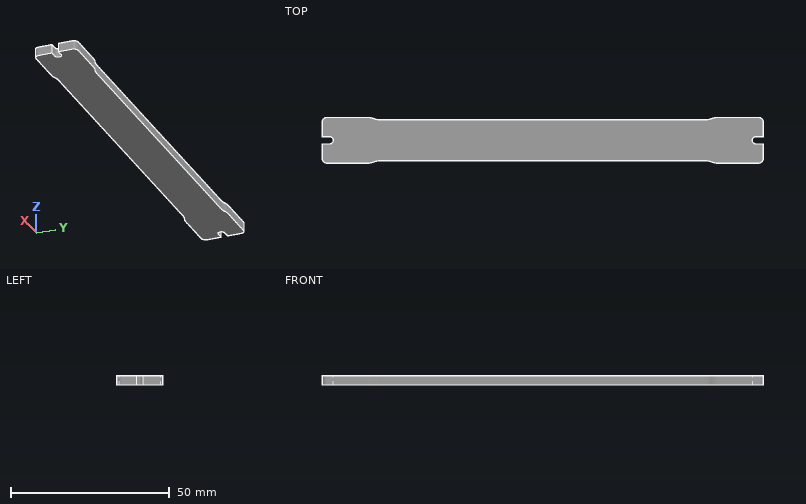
import cadquery as cq
import math

length = 139.0
end_width = 14.5
middle_width = 13.0
thickness = 3.0
corner_radius = 1.6
end_pad_length = 14.35
blend_radius = 5.0
slot_width = 2.2
slot_depth = 3.5

step = (end_width - middle_width) / 2
blend_angle = math.acos(1 - step / (2 * blend_radius))
blend_length = 2 * blend_radius * math.sin(blend_angle)


def make_bar():
    """Flat bar with rounded corners, centred on the origin."""
    return cq.Workplane("XY").box(length, end_width, thickness).edges("|Z").fillet(corner_radius)


def make_edge_relief():
    """Shallow cut along the +Y edge, with an S-shaped run-out at each end."""
    top_y = end_width / 2
    floor_y = middle_width / 2
    half_y = (top_y + floor_y) / 2
    outer_x = length / 2 - end_pad_length
    half_x = outer_x - blend_length / 2
    inner_x = outer_x - blend_length

    arc_mid_run = blend_radius * math.sin(blend_angle / 2)
    arc_mid_drop = blend_radius * (1 - math.cos(blend_angle / 2))
    upper_mid = (outer_x - arc_mid_run, top_y - arc_mid_drop)
    lower_mid = (inner_x + arc_mid_run, floor_y + arc_mid_drop)

    return (
        cq.Workplane("XY")
        .workplane(offset=-thickness / 2)
        .moveTo(outer_x, top_y)
        .threePointArc(upper_mid, (half_x, half_y))
        .threePointArc(lower_mid, (inner_x, floor_y))
        .lineTo(-inner_x, floor_y)
        .threePointArc((-lower_mid[0], lower_mid[1]), (-half_x, half_y))
        .threePointArc((-upper_mid[0], upper_mid[1]), (-outer_x, top_y))
        .close()
        .extrude(thickness)
    )


def make_end_slots():
    """Round-bottomed slots, one centred on each end face."""
    return (
        cq.Workplane("XY")
        .pushPoints([(-length / 2, 0), (length / 2, 0)])
        .slot2D(2 * slot_depth, slot_width)
        .extrude(thickness / 2, both=True)
    )


bar = make_bar()
edge_relief = make_edge_relief()
result = bar.cut(edge_relief).cut(edge_relief.mirror("XZ")).cut(make_end_slots())